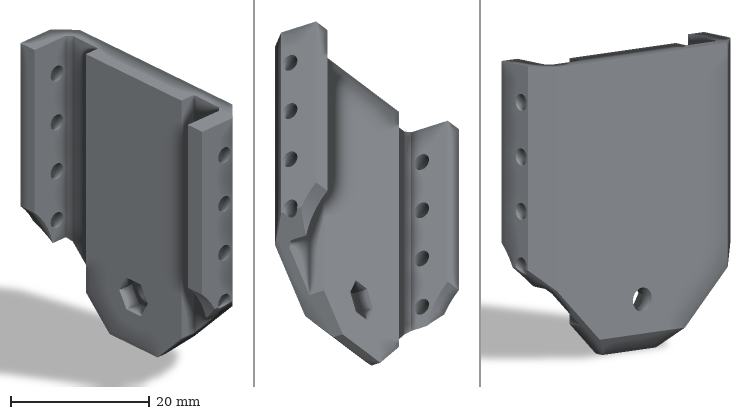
import cadquery as cq
import math

width = 38.0
depth = 9.0
height = 44.0

wall = 3.0
outer_chamfer = 3.0
web = 2.02
inner_chamfer = 0.7
pad_width = 19.98
pad_thickness = 2.5

tip_width = 10.05
taper_rise = (width - tip_width) / 2

bolt_height = 8.0
bolt_diameter = 3.5
nut_across_corners = 6.0
nut_depth = 2.5

side_hole_diameter = 2.5
side_hole_count = 4
side_hole_pitch = 8.0
top_hole_offset = 5.5

relief_start = 17.3
relief_axis_offset = 8.7

half_width = width / 2
inner_half = half_width - wall
pad_half = pad_width / 2
web_front = depth - web
pad_front = web_front - pad_thickness


def channel():
    """Upright channel with a raised central pad on its inner face."""
    right_half = [
        (half_width - outer_chamfer, depth),
        (half_width, depth - outer_chamfer),
        (half_width, 0),
        (inner_half, 0),
        (inner_half, web_front - inner_chamfer),
        (inner_half - inner_chamfer, web_front),
        (pad_half, web_front),
        (pad_half, pad_front),
    ]
    left_half = [(-x, y) for x, y in reversed(right_half)]
    return cq.Workplane("XY").polyline(right_half + left_half).close().extrude(height)


def tapered_outline():
    """Full-depth block whose lower corners are cut at 45 degrees."""
    outline = [
        (-tip_width / 2, 0),
        (tip_width / 2, 0),
        (half_width, taper_rise),
        (half_width, height),
        (-half_width, height),
        (-half_width, taper_rise),
    ]
    return cq.Workplane("XZ").polyline(outline).close().extrude(-depth)


def bottom_chamfer():
    """Wedge that bevels the lower back edge."""
    corner = [(depth, 0), (depth - outer_chamfer, 0), (depth, outer_chamfer)]
    return cq.Workplane("YZ").polyline(corner).close().extrude(half_width, both=True)


def wall_relief():
    """Cylinder along X, in front of the part and level with the bolt."""
    radius = math.hypot(relief_axis_offset, relief_start - bolt_height)
    axis = cq.Workplane("YZ").center(-relief_axis_offset, bolt_height)
    return axis.circle(radius).extrude(half_width, both=True)


def bolt_and_nut():
    """Through bolt hole and the nut pocket sunk into the pad."""
    bolt = cq.Workplane("XZ").center(0, bolt_height).circle(bolt_diameter / 2).extrude(-depth)
    pocket = (
        cq.Workplane("XZ", origin=(0, pad_front, 0))
        .center(0, bolt_height)
        .polygon(6, nut_across_corners)
        .extrude(-nut_depth)
    )
    return bolt.union(pocket)


def side_holes():
    """Rows of holes through the two walls, level with the pad face but clear of the pad."""
    centers = [
        (pad_front, height - top_hole_offset - i * side_hole_pitch)
        for i in range(side_hole_count)
    ]
    right_row = (
        cq.Workplane("YZ", origin=(inner_half, 0, 0))
        .pushPoints(centers)
        .circle(side_hole_diameter / 2)
        .extrude(wall)
    )
    return right_row.union(right_row.mirror("YZ"))


result = (
    channel()
    .intersect(tapered_outline())
    .cut(bottom_chamfer())
    .cut(wall_relief())
    .cut(bolt_and_nut())
    .cut(side_holes())
)